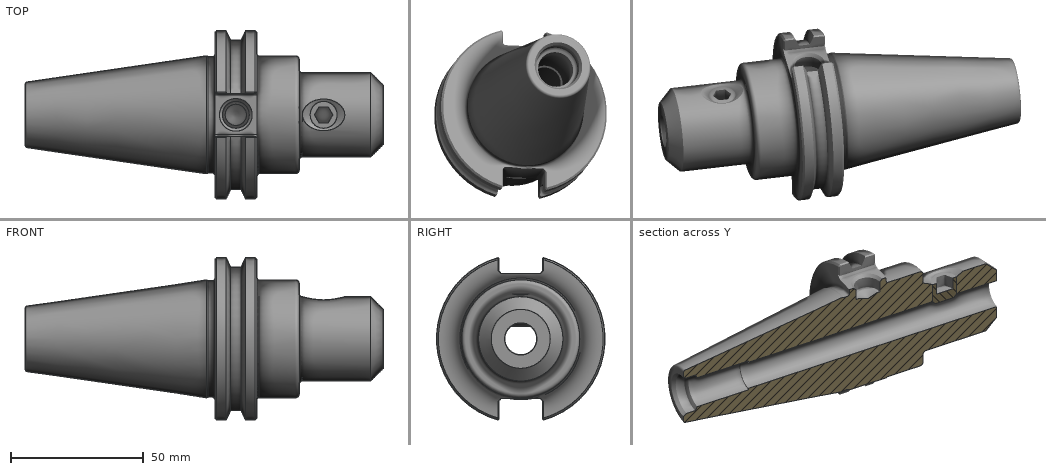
import cadquery as cq
import math


tolerance = 0.01

gauge_dia = 44.45
taper_length = 68.25
taper_per_length = 7 / 24
small_end_x = -taper_length
small_end_dia = gauge_dia - taper_per_length * taper_length
small_end_fillet = 1.0

relief_dia = 43.94
relief_start_x = 0.7
relief_fillet = 0.8

flange_dia = 63.5
flange_front_x = 3.175
flange_width = 15.875
flange_back_x = flange_front_x + flange_width
flange_chamfer = 0.7
groove_dia = 56.4
groove_center_x = flange_front_x + flange_width / 2
groove_bottom_width = 4.0
groove_top_width = 7.4

collar_dia = gauge_dia
collar_end_x = 35.0
collar_fillet = 1.5
collar_root_fillet = 0.7
nose_dia = 31.75
nose_root_fillet = 1.2
nose_end_x = 66.675
nose_chamfer = 4.76

slot_width = 16.26
top_slot_floor_z = 24.7
bottom_slot_floor_z = -22.5
slot_edge_chamfer = 0.5
slot_corner_chamfer = 0.75

tool_bore_dia = 12.0
pilot_entry_dia = 18.2
pilot_entry_depth = 1.4
pilot_dia = 16.46
pilot_depth = 5.1
thread_hole_dia = 13.39
thread_hole_depth = 28.0
pilot_floor_angle = 118

chip_x = groove_center_x
chip_entry_dia = 12.3
chip_dia = 10.13
chip_depth = 5.6
chip_point_dia = 8.0
chip_point_angle = 140

screw_from_nose_end = 22.5
screw_x = nose_end_x - screw_from_nose_end
screw_dia = 10.13
screw_head_z = 14.2
screw_tip_z = 4.67
screw_tip_dia = 8.0
socket_across_flats = 6.0
socket_depth = 5.0
sink_angle = 120
sink_overrun = 1.0


def revolve_x(points):
    """Solid of revolution about X from (x, radius) points, closed along the axis."""
    return cq.Workplane("XY").polyline(points).close().revolve(360, (0, 0, 0), (1, 0, 0))


def round_ring(body, x, dia, fillet):
    """Fillet the circular edge of the given diameter that lies in the plane at x."""
    ring = cq.selectors.BoxSelector(
        (x - tolerance, -dia, -dia), (x + tolerance, dia, dia), boundingbox=True
    )
    edges = [
        edge for edge in body.edges(ring).vals()
        if abs(edge.radius() - dia / 2) < tolerance
    ]
    return body.newObject(edges).fillet(fillet)


def make_blank():
    groove_top = groove_top_width / 2
    groove_bottom = groove_bottom_width / 2
    rim = flange_dia / 2
    points = [
        (small_end_x, 0),
        (small_end_x, small_end_dia / 2),
        (0, gauge_dia / 2),
        (relief_start_x, relief_dia / 2),
        (flange_front_x, relief_dia / 2),
        (flange_front_x, rim - flange_chamfer),
        (flange_front_x + flange_chamfer, rim),
        (groove_center_x - groove_top, rim),
        (groove_center_x - groove_bottom, groove_dia / 2),
        (groove_center_x + groove_bottom, groove_dia / 2),
        (groove_center_x + groove_top, rim),
        (flange_back_x - flange_chamfer, rim),
        (flange_back_x, rim - flange_chamfer),
        (flange_back_x, collar_dia / 2),
        (collar_end_x, collar_dia / 2),
        (collar_end_x, nose_dia / 2),
        (nose_end_x - nose_chamfer, nose_dia / 2),
        (nose_end_x, nose_dia / 2 - nose_chamfer),
        (nose_end_x, 0),
    ]
    blank = revolve_x(points)
    blank = round_ring(blank, small_end_x, small_end_dia, small_end_fillet)
    blank = round_ring(blank, flange_front_x, relief_dia, relief_fillet)
    blank = round_ring(blank, flange_back_x, collar_dia, collar_root_fillet)
    blank = round_ring(blank, collar_end_x, collar_dia, collar_fillet)
    return round_ring(blank, collar_end_x, nose_dia, nose_root_fillet)


def make_axial_bore():
    pilot_end = small_end_x + pilot_depth
    pilot_step = (pilot_dia - thread_hole_dia) / 2
    pilot_cone = pilot_step / math.tan(math.radians(pilot_floor_angle / 2))
    thread_end = small_end_x + thread_hole_depth
    return revolve_x([
        (small_end_x, 0),
        (small_end_x, pilot_entry_dia / 2),
        (small_end_x + pilot_entry_depth, pilot_dia / 2),
        (pilot_end, pilot_dia / 2),
        (pilot_end + pilot_cone, thread_hole_dia / 2),
        (thread_end, thread_hole_dia / 2),
        (thread_end, tool_bore_dia / 2),
        (nose_end_x, tool_bore_dia / 2),
        (nose_end_x, 0),
    ])


def make_slot(floor_z):
    """Slot through the flange, with bevelled floor corners and bevelled end edges."""
    half = slot_width / 2
    side = math.copysign(1, floor_z)
    rim_z = side * flange_dia / 2
    corner_z = floor_z + side * slot_corner_chamfer
    return (
        cq.Workplane("YZ", origin=(flange_front_x, 0, 0))
        .polyline([
            (-half, rim_z),
            (-half, corner_z),
            (-half + slot_corner_chamfer, floor_z),
            (half - slot_corner_chamfer, floor_z),
            (half, corner_z),
            (half, rim_z),
        ])
        .close()
        .extrude(flange_width)
    )


def bevel_slot_edges(body):
    """Bevel the edges where the slot walls meet the flange faces and its rim."""
    groove_half = groove_top_width / 2 - tolerance
    flange_half = flange_width / 2 + tolerance
    edges = []
    for edge in body.edges().vals():
        box = edge.BoundingBox()
        on_wall = (
            box.ylen < tolerance
            and abs(abs(box.center.y) - slot_width / 2) < tolerance
        )
        on_land = groove_half < abs(box.center.x - groove_center_x) < flange_half
        if on_wall and on_land:
            edges.append(edge)
    return body.newObject(edges).chamfer(slot_edge_chamfer)


def make_chip_pocket():
    """Pocket in the top slot floor: countersunk, flat-bottomed, with a drill point."""
    entry_depth = (chip_entry_dia - chip_dia) / 2
    floor_z = top_slot_floor_z - chip_depth
    point_depth = chip_point_dia / 2 / math.tan(math.radians(chip_point_angle / 2))
    return (
        cq.Workplane("XZ", origin=(chip_x, 0, 0))
        .polyline([
            (0, top_slot_floor_z),
            (chip_entry_dia / 2, top_slot_floor_z),
            (chip_dia / 2, top_slot_floor_z - entry_depth),
            (chip_dia / 2, floor_z),
            (chip_point_dia / 2, floor_z),
            (0, floor_z - point_depth),
        ])
        .close()
        .revolve(360, (0, 0, 0), (0, 1, 0))
    )


def make_screw_hole():
    """Clamping screw hole from the bore up to the nose, opening in a wide countersink."""
    sink_top_z = nose_dia / 2 + sink_overrun
    sink_growth = (sink_top_z - screw_head_z) * math.tan(math.radians(sink_angle / 2))
    return (
        cq.Workplane("XZ", origin=(screw_x, 0, 0))
        .polyline([
            (0, 0),
            (screw_dia / 2, 0),
            (screw_dia / 2, screw_head_z),
            (screw_dia / 2 + sink_growth, sink_top_z),
            (0, sink_top_z),
        ])
        .close()
        .revolve(360, (0, 0, 0), (0, 1, 0))
    )


def make_holder():
    holder = make_blank()
    for floor_z in (top_slot_floor_z, bottom_slot_floor_z):
        holder = holder.cut(make_slot(floor_z))
    holder = bevel_slot_edges(holder)
    return holder.cut(make_axial_bore()).cut(make_chip_pocket()).cut(make_screw_hole())


def make_screw():
    tip_bevel = (screw_dia - screw_tip_dia) / 2
    socket_across_corners = socket_across_flats / math.cos(math.pi / 6)
    screw = (
        cq.Workplane("XY", origin=(screw_x, 0, screw_tip_z))
        .circle(screw_dia / 2)
        .extrude(screw_head_z - screw_tip_z)
        .faces("<Z").chamfer(tip_bevel)
    )
    socket = (
        cq.Workplane("XY", origin=(screw_x, 0, screw_head_z))
        .polygon(6, socket_across_corners)
        .extrude(-socket_depth)
    )
    return screw.cut(socket)


holder = make_holder()
screw = make_screw()

result = cq.Compound.makeCompound([holder.val(), screw.val()])